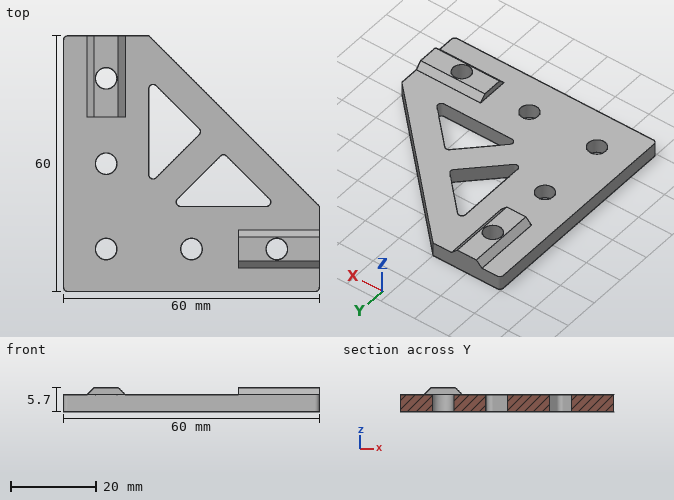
import cadquery as cq

side = 60.0
plate_thickness = 4.0
corner_radius = 1.0
hole_diameter = 5.0
rail_length = 19.0
rail_height = 1.7
rail_base_width = 9.0
rail_top_width = rail_base_width - 2 * rail_height

hole_pitch = side / 3
hole_margin = side / 6
band_width = side / 3
brace_offset = side / 12
rim_offset = side / 6


def mirror_across_diagonal(points):
    """Swap X and Y, reflecting points in the line X = Y."""
    return [(y, x) for x, y in points]


def make_plate():
    """Square plate with one corner cut off at 45 degrees and the others rounded."""
    outline = [(0, 0), (side, 0), (side, band_width), (band_width, side), (0, side)]
    plate = cq.Workplane("XY").polyline(outline).close().extrude(plate_thickness)
    for x, y in [(0, 0), (side, 0), (0, side)]:
        corner_edge = cq.selectors.NearestToPointSelector((x, y, plate_thickness / 2))
        plate = plate.edges("|Z").edges(corner_edge).fillet(corner_radius)
    return plate


def make_window(points):
    """Triangular through-cutter with rounded corners."""
    window = cq.Workplane("XY").polyline(points).close().extrude(plate_thickness)
    return window.edges("|Z").fillet(corner_radius)


def make_rail(plane):
    """Trapezoidal rail whose section lies on the given plane, extruded inwards from an outer edge."""
    section = [
        (-rail_base_width / 2, 0),
        (rail_base_width / 2, 0),
        (rail_top_width / 2, rail_height),
        (-rail_top_width / 2, rail_height),
    ]
    return cq.Workplane(plane).polyline(section).close().extrude(rail_length)


slope_sum = side + band_width - rim_offset
upper_window = [
    (band_width, band_width + brace_offset),
    ((slope_sum - brace_offset) / 2, (slope_sum + brace_offset) / 2),
    (band_width, slope_sum - band_width),
]
body = make_plate()
for window_points in (upper_window, mirror_across_diagonal(upper_window)):
    body = body.cut(make_window(window_points))

x_leg_end = cq.Plane(origin=(side, hole_margin, plate_thickness), xDir=(0, -1, 0), normal=(-1, 0, 0))
y_leg_end = cq.Plane(origin=(hole_margin, side, plate_thickness), xDir=(1, 0, 0), normal=(0, -1, 0))
for leg_end in (x_leg_end, y_leg_end):
    body = body.union(make_rail(leg_end))

leg_holes = [(hole_margin + step * hole_pitch, hole_margin) for step in (1, 2)]
hole_centres = [(hole_margin, hole_margin)] + leg_holes + mirror_across_diagonal(leg_holes)
hole_cutter = (
    cq.Workplane("XY")
    .pushPoints(hole_centres)
    .circle(hole_diameter / 2)
    .extrude(plate_thickness + rail_height)
)

result = body.cut(hole_cutter)